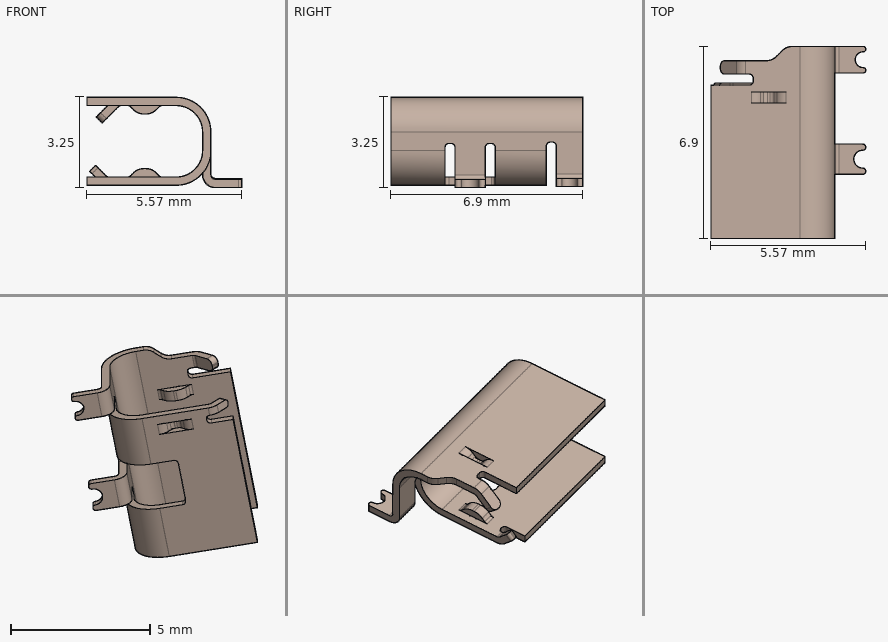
import cadquery as cq
import math


LENGTH = 6.9
BODY_WIDTH = 4.46
BODY_HEIGHT = 3.17
SHEET = 0.305
BODY_RADIUS = 1.25
WALL_INNER_X = BODY_WIDTH - SHEET
BEND_X = BODY_WIDTH - BODY_RADIUS

BEND_INNER = 0.15
BEND_OUTER = BEND_INNER + SHEET
CUT_RADIUS = 0.14
SIN45 = math.sqrt(0.5)
BEND_SETBACK = BEND_OUTER * math.tan(math.radians(22.5))
OVERCUT = 0.345

LOWER_LEG_END = 5.59
UPPER_STEP_Y = 6.39
UPPER_STEP_START = 2.0
STEP_RADIUS = 0.5

UPPER_TONGUE = {"fold_x": 1.05, "length": 1.01, "width": 0.49, "y_end": UPPER_STEP_Y, "tip_radius": 0.22}
UPPER_NOTCH_X = 1.52
UPPER_NOTCH_WIDTH = 0.39
LOWER_TONGUE = {"fold_x": 0.61, "length": 0.72, "width": 0.3, "y_end": LOWER_LEG_END, "tip_radius": 0.125}
LOWER_NOTCH_X = 0.93
LOWER_NOTCH_WIDTH = 0.31

DIMPLE_X = 2.085
DIMPLE_Y = 5.06
DIMPLE_WIDTH = 0.4
DIMPLE_DEPTH = SHEET
DIMPLE_CREST_HALF = 0.045
DIMPLE_CREST_RADIUS = 0.2

FOOT_TIP_X = 5.57
RELIEF_WIDTH = 0.35
END_FOOT = {"y_start": 5.94, "y_end": LENGTH, "bend_z": 0.41, "relief_top": 1.55, "prong_width": 0.2}
MID_FOOT = {"y_start": 2.305, "y_end": 3.395, "bend_z": 0.37, "relief_top": 1.505, "prong_width": 0.23}
WINDOW_X = 2.24


def box(x_range, y_range, z_range):
    """Box between two limits on each axis."""
    size = [limits[1] - limits[0] for limits in (x_range, y_range, z_range)]
    corner = (x_range[0], y_range[0], z_range[0])
    return cq.Workplane("XY").box(*size, centered=False).translate(corner)


def cross_section(y_end):
    """XZ sketch plane at y_end; a positive extrusion runs toward -Y."""
    return cq.Workplane("XZ", origin=(0, y_end, 0))


def to_upper_leg(shape):
    """Mirror a feature of the lower leg onto the upper leg."""
    return shape.mirror("XY", (0, 0, BODY_HEIGHT / 2))


def u_section(offset):
    """Filled U outline, moved inward by offset and open toward -X."""
    radius = BODY_RADIUS - offset
    height = BODY_HEIGHT - 2 * offset
    return (
        cross_section(LENGTH)
        .moveTo(0, offset)
        .lineTo(BEND_X, offset)
        .radiusArc((BEND_X + radius, BODY_RADIUS), -radius)
        .lineTo(BEND_X + radius, BODY_HEIGHT - BODY_RADIUS)
        .radiusArc((BEND_X, offset + height), -radius)
        .lineTo(0, offset + height)
        .close()
        .extrude(LENGTH)
    )


def upper_step_cut():
    """Waste behind the upper leg: a 45 degree step eased by two equal arcs."""
    step = LENGTH - UPPER_STEP_Y
    arc_x = STEP_RADIUS * SIN45
    arc_y = STEP_RADIUS * (1 - SIN45)
    slope = step - 2 * arc_y
    slope_start_x = UPPER_STEP_START + arc_x
    slope_end_x = slope_start_x + slope
    return (
        cq.Workplane("XY", origin=(0, 0, BODY_HEIGHT / 2))
        .moveTo(-OVERCUT, UPPER_STEP_Y)
        .lineTo(UPPER_STEP_START, UPPER_STEP_Y)
        .radiusArc((slope_start_x, UPPER_STEP_Y + arc_y), -STEP_RADIUS)
        .lineTo(slope_end_x, LENGTH - arc_y)
        .radiusArc((slope_end_x + arc_x, LENGTH), STEP_RADIUS)
        .lineTo(-OVERCUT, LENGTH)
        .close()
        .extrude(BODY_HEIGHT)
    )


def tongue_clearance(tongue, notch_x, notch_width, y_limit):
    """Lower-leg waste around a tongue: the rounded notch and the flat beyond the fold."""
    y_start = tongue["y_end"] - tongue["width"]
    notch_y = y_start - notch_width
    z_range = (-OVERCUT, BODY_RADIUS)
    notch = box((-OVERCUT, notch_x), (notch_y, y_start), z_range).edges("|Z and >X").fillet(CUT_RADIUS)
    beyond_fold = box((-OVERCUT, tongue["fold_x"] + BEND_SETBACK), (y_start, y_limit), z_range)
    return notch.union(beyond_fold)


def bent_tongue(tongue):
    """Tongue of the lower leg, folded up 45 degrees and rounded at its tip."""
    fold_x = tongue["fold_x"]
    reach = tongue["length"] * SIN45
    skew = SHEET * SIN45
    root_x = fold_x + BEND_SETBACK
    outer_x = fold_x - BEND_SETBACK * SIN45
    outer_z = BEND_SETBACK * SIN45
    return (
        cross_section(tongue["y_end"])
        .moveTo(root_x, 0)
        .radiusArc((outer_x, outer_z), BEND_OUTER)
        .lineTo(fold_x - reach, reach)
        .lineTo(fold_x - reach + skew, reach + skew)
        .lineTo(outer_x + skew, outer_z + skew)
        .radiusArc((root_x, SHEET), -BEND_INNER)
        .close()
        .extrude(tongue["width"])
        .edges(cq.selectors.ParallelDirSelector(cq.Vector(1, 0, 1)))
        .fillet(tongue["tip_radius"])
    )


def dimple_solid(base_z, root_radius, crest_radius):
    """Solid under one dimple face: 45 degree flanks between root and crest arcs."""
    slope = DIMPLE_DEPTH - (root_radius + crest_radius) * (1 - SIN45)
    slope_top_x = DIMPLE_CREST_HALF + crest_radius * SIN45
    slope_foot_x = slope_top_x + slope
    root_x = slope_foot_x + root_radius * SIN45
    root_z = root_radius * (1 - SIN45)
    slope_top_z = root_z + slope
    return (
        cross_section(DIMPLE_Y + DIMPLE_WIDTH / 2)
        .center(DIMPLE_X, base_z)
        .moveTo(-root_x, 0)
        .radiusArc((-slope_foot_x, root_z), -root_radius)
        .lineTo(-slope_top_x, slope_top_z)
        .radiusArc((-DIMPLE_CREST_HALF, DIMPLE_DEPTH), crest_radius)
        .lineTo(DIMPLE_CREST_HALF, DIMPLE_DEPTH)
        .radiusArc((slope_top_x, slope_top_z), crest_radius)
        .lineTo(slope_foot_x, root_z)
        .radiusArc((root_x, 0), -root_radius)
        .close()
        .extrude(DIMPLE_WIDTH)
    )


def relief_slot(y_start, top_z):
    """Slot through the closed side, rounded at its top corners."""
    slot = box((BEND_X, BODY_WIDTH + OVERCUT), (y_start, y_start + RELIEF_WIDTH), (-OVERCUT, top_z))
    return slot.edges("|X and >Z").fillet(CUT_RADIUS)


def foot(spec):
    """Solder foot: drops from the closed side, turns outward and ends in a forked tip."""
    y_start, y_end = spec["y_start"], spec["y_end"]
    bend_z = spec["bend_z"]
    width = y_end - y_start
    bend_center_x = BODY_WIDTH + BEND_INNER
    strip = (
        cross_section(y_end)
        .moveTo(WALL_INNER_X, spec["relief_top"])
        .lineTo(WALL_INNER_X, bend_z)
        .radiusArc((bend_center_x, bend_z - BEND_OUTER), -BEND_OUTER)
        .lineTo(FOOT_TIP_X, bend_z - BEND_OUTER)
        .lineTo(FOOT_TIP_X, bend_z - BEND_INNER)
        .lineTo(bend_center_x, bend_z - BEND_INNER)
        .radiusArc((BODY_WIDTH, bend_z), BEND_INNER)
        .lineTo(BODY_WIDTH, spec["relief_top"])
        .close()
        .extrude(width)
    )
    prong_radius = spec["prong_width"] / 2
    prong_x = FOOT_TIP_X - prong_radius
    fork_radius = width / 2 - spec["prong_width"]
    middle_y = (y_start + y_end) / 2
    low, high = bend_z - BEND_OUTER, bend_z - BEND_INNER
    tip = box((prong_x, FOOT_TIP_X), (y_start, y_end), (low, high))
    fork = cq.Workplane("XY", origin=(0, 0, low)).center(prong_x, middle_y).circle(fork_radius).extrude(SHEET)
    strip = strip.cut(tip).cut(fork)
    for prong_y in (y_start + prong_radius, y_end - prong_radius):
        prong = cq.Workplane("XY", origin=(prong_x, prong_y, low)).circle(prong_radius).extrude(SHEET)
        strip = strip.union(prong)
    return strip


body = u_section(0).cut(u_section(SHEET))

upper_clearance = tongue_clearance(UPPER_TONGUE, UPPER_NOTCH_X, UPPER_NOTCH_WIDTH, LENGTH)
body = body.cut(upper_step_cut()).cut(to_upper_leg(upper_clearance))
body = body.union(to_upper_leg(bent_tongue(UPPER_TONGUE)))

behind_lower_leg = box((-OVERCUT, BEND_X), (LOWER_LEG_END, LENGTH), (-OVERCUT, BODY_RADIUS))
lower_clearance = tongue_clearance(LOWER_TONGUE, LOWER_NOTCH_X, LOWER_NOTCH_WIDTH, LOWER_LEG_END)
body = body.cut(behind_lower_leg).cut(lower_clearance)
body = body.union(bent_tongue(LOWER_TONGUE))

window_y = (MID_FOOT["y_start"] - RELIEF_WIDTH, MID_FOOT["y_end"] + RELIEF_WIDTH)
window = box((WINDOW_X, BODY_WIDTH + OVERCUT), window_y, (-OVERCUT, BODY_RADIUS))
body = body.cut(window.edges("|Z and <X").fillet(CUT_RADIUS))

for relief_y, top_z in (
    (END_FOOT["y_start"] - RELIEF_WIDTH, END_FOOT["relief_top"]),
    (MID_FOOT["y_start"] - RELIEF_WIDTH, MID_FOOT["relief_top"]),
    (MID_FOOT["y_end"], MID_FOOT["relief_top"]),
):
    body = body.cut(relief_slot(relief_y, top_z))
for spec in (END_FOOT, MID_FOOT):
    foot_band = (spec["y_start"], spec["y_end"])
    body = body.cut(box((BEND_X, FOOT_TIP_X), foot_band, (-OVERCUT, spec["relief_top"])))
    body = body.union(foot(spec))

bump = dimple_solid(SHEET, BEND_INNER, DIMPLE_CREST_RADIUS + SHEET)
recess = dimple_solid(0, BEND_OUTER, DIMPLE_CREST_RADIUS)
body = body.union(bump).cut(recess)
body = body.union(to_upper_leg(bump)).cut(to_upper_leg(recess))

result = body